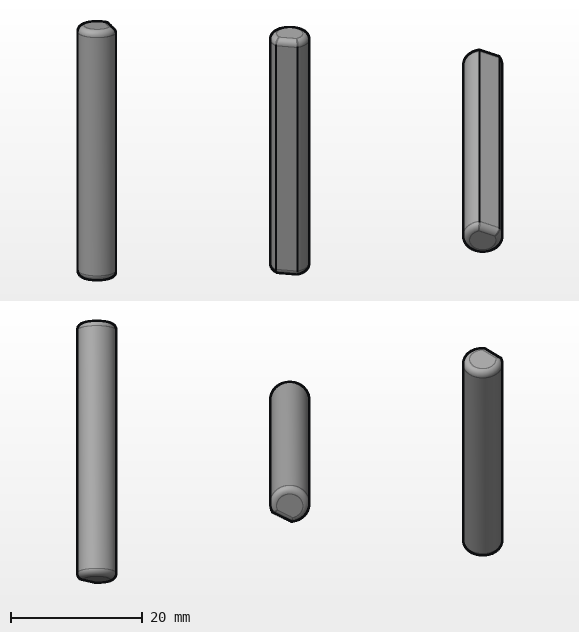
import cadquery as cq

shaft_diameter = 6.0
shaft_length = 40.0
size_across_flat = 5.5
end_round_radius = 1.0

shaft_radius = shaft_diameter / 2
flat_y = size_across_flat - shaft_radius


def make_shaft():
    """Round shaft along Z, starting at Z = 0."""
    return cq.Workplane("XY").circle(shaft_radius).extrude(shaft_length)


def cut_flat(shaft):
    """Remove the material beyond the flat on the +Y side, over the full length."""
    waste = cq.Workplane("XY").box(
        shaft_diameter, shaft_radius, shaft_length, centered=(True, False, False)
    )
    return shaft.cut(waste.translate((0, flat_y, 0)))


def round_ends(shaft):
    """Round the whole rim of both ends, including the edge of the flat."""
    return shaft.faces("|Z").edges().fillet(end_round_radius)


result = round_ends(cut_flat(make_shaft()))